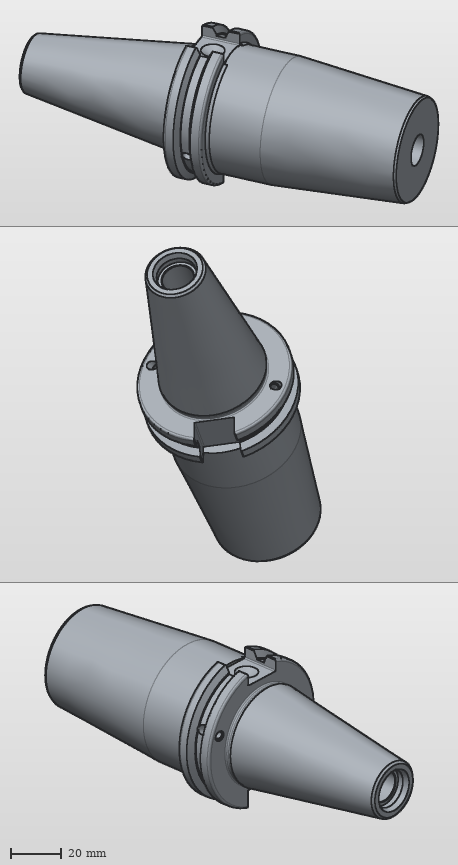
import cadquery as cq
import math


length = 168.2
gauge_x = 68.0
gauge_radius = 22.2
taper_slope = 7 / 48
small_end_chamfer = 1.0
relief_radius = 43.5 / 2
relief_start_x = 69.5
relief_fillet = 0.5

flange_front_x = 71.0
flange_rear_x = 87.5
flange_radius = 31.8
flange_rounding = 1.0
groove_x = 79.2
groove_bottom_radius = 28.1
groove_top_width = 7.4
groove_bottom_width = 3.9
groove_flank_angle = 30.0
collar_radius = 27.1
collar_end_x = 89.0

body_radius = 53.0 / 2
body_cone_x = 111.0
nose_radius = 22.0
nose_chamfer_length = 1.0
nose_chamfer_height = 0.5

bore_radius = 13.0 / 2
bore_mouth_radius = 13.5 / 2
pilot_radius = 16.3 / 2
pilot_depth = 5.0
countersink_radius = 18.2 / 2
countersink_depth = 2.5

slot_width = 16.5
slot_floor_fillet = 0.5
slot_edge_chamfer = 0.5
top_slot_floor = 25.2
bottom_slot_floor = 22.4
dimple_diameter = 9.6
dimple_tip_angle = 118.0

coolant_angle = 20.0
coolant_radius = 27.0
coolant_tilt = 30.0
coolant_mouth_diameter = 4.2
coolant_mouth_depth = 2.0
coolant_diameter = 3.2
coolant_depth = 13.5
groove_hole_diameter = 4.0
groove_hole_floor = 22.7


def revolve_about_x(profile):
    """Turn a closed profile in the XY plane about the X axis."""
    return profile.revolve(360, (0, 0, 0), (1, 0, 0))


def make_shank():
    small_end_radius = gauge_radius - gauge_x * taper_slope
    chamfer_end_radius = small_end_radius + small_end_chamfer * taper_slope
    profile = (
        cq.Workplane("XY")
        .moveTo(0, 0)
        .lineTo(0, chamfer_end_radius - small_end_chamfer)
        .lineTo(small_end_chamfer, chamfer_end_radius)
        .lineTo(gauge_x, gauge_radius)
        .lineTo(relief_start_x, relief_radius)
        .lineTo(flange_front_x - relief_fillet, relief_radius)
        .radiusArc((flange_front_x, relief_radius + relief_fillet), -relief_fillet)
        .lineTo(flange_front_x, 0)
        .close()
    )
    return revolve_about_x(profile)


def make_flange():
    half_top = groove_top_width / 2
    half_bottom = groove_bottom_width / 2
    flank_height = (half_top - half_bottom) / math.tan(math.radians(groove_flank_angle))
    flank_foot_radius = flange_radius - flank_height
    shoulder_radius = flange_radius - flange_rounding
    profile = (
        cq.Workplane("XY")
        .moveTo(flange_front_x, 0)
        .lineTo(flange_front_x, shoulder_radius)
        .radiusArc((flange_front_x + flange_rounding, flange_radius), flange_rounding)
        .lineTo(groove_x - half_top, flange_radius)
        .lineTo(groove_x - half_bottom, flank_foot_radius)
        .lineTo(groove_x - half_bottom, groove_bottom_radius)
        .lineTo(groove_x + half_bottom, groove_bottom_radius)
        .lineTo(groove_x + half_bottom, flank_foot_radius)
        .lineTo(groove_x + half_top, flange_radius)
        .lineTo(flange_rear_x - flange_rounding, flange_radius)
        .radiusArc((flange_rear_x, shoulder_radius), flange_rounding)
        .lineTo(flange_rear_x, collar_radius)
        .lineTo(collar_end_x, body_radius)
        .lineTo(collar_end_x, 0)
        .close()
    )
    return revolve_about_x(profile)


def make_body():
    points = [
        (flange_rear_x, 0),
        (flange_rear_x, body_radius),
        (body_cone_x, body_radius),
        (length - nose_chamfer_length, nose_radius),
        (length, nose_radius - nose_chamfer_height),
        (length, 0),
    ]
    return revolve_about_x(cq.Workplane("XY").polyline(points).close())


def make_bore():
    points = [
        (0, 0),
        (0, countersink_radius),
        (countersink_depth, pilot_radius),
        (pilot_depth, pilot_radius),
        (pilot_depth, bore_mouth_radius),
        (pilot_depth + bore_mouth_radius - bore_radius, bore_radius),
        (length, bore_radius),
        (length, 0),
    ]
    return revolve_about_x(cq.Workplane("XY").polyline(points).close())


def make_slot(floor):
    """Cutter for a drive slot across the top of the flange, with its floor at the given height."""
    half_width = slot_width / 2
    edge_z = math.sqrt(flange_radius**2 - half_width**2)
    chamfer_z = edge_z - slot_edge_chamfer
    half_mouth = half_width + flange_radius - chamfer_z
    outline = [
        (-half_width, floor),
        (half_width, floor),
        (half_width, chamfer_z),
        (half_mouth, flange_radius),
        (-half_mouth, flange_radius),
        (-half_width, chamfer_z),
    ]
    slot = cq.Workplane("YZ", origin=(flange_front_x, 0, 0)).polyline(outline).close()
    slot = slot.extrude(collar_end_x - flange_front_x)
    return slot.faces("<Z").edges("|X").fillet(slot_floor_fillet)


def make_dimple():
    radius = dimple_diameter / 2
    depth = radius / math.tan(math.radians(dimple_tip_angle / 2))
    cone = cq.Solid.makeCone(radius, 0, depth, cq.Vector(groove_x, 0, top_slot_floor), cq.Vector(0, 0, -1))
    return cq.Workplane(obj=cone)


def make_coolant_holes(angle):
    """Leaning stepped hole in the flange face and the radial groove hole that meets it."""
    tilt = math.radians(coolant_tilt)
    mouth = cq.Vector(flange_front_x, coolant_radius, 0)
    inward = cq.Vector(math.cos(tilt), -math.sin(tilt), 0)
    overrun = coolant_mouth_diameter
    start = mouth - inward * overrun
    wide = cq.Solid.makeCylinder(
        coolant_mouth_diameter / 2, coolant_mouth_depth + overrun, start, inward)
    narrow = cq.Solid.makeCylinder(coolant_diameter / 2, coolant_depth, mouth, inward)
    groove_hole = cq.Solid.makeCylinder(
        groove_hole_diameter / 2, flange_radius - groove_hole_floor,
        cq.Vector(groove_x, groove_hole_floor, 0), cq.Vector(0, 1, 0))
    holes = cq.Workplane(obj=wide).union(cq.Workplane(obj=narrow)).union(cq.Workplane(obj=groove_hole))
    return holes.rotate((0, 0, 0), (1, 0, 0), angle)


flange = make_flange()
flange = flange.cut(make_slot(top_slot_floor))
flange = flange.cut(make_slot(bottom_slot_floor).rotate((0, 0, 0), (1, 0, 0), 180))
flange = flange.cut(make_dimple())
for hole_angle in (coolant_angle, coolant_angle + 180):
    flange = flange.cut(make_coolant_holes(hole_angle))

result = make_shank().union(flange).union(make_body()).cut(make_bore())